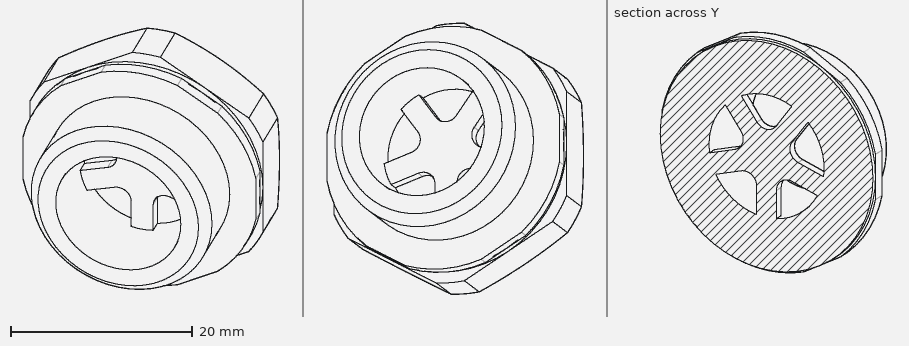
import cadquery as cq
import math


total_length = 19.0
spigot_length = 7.5
washer_thickness = 1.5
collar_thickness = 1.0
dome_height = 2.15
bore_depth = 10.0
rib_height = 1.5

across_flats = 27.0
corner_radius = 14.75
washer_radius = 13.77
collar_radius = across_flats / 2
spigot_radius = 20.97 / 2
spigot_chamfer = 1.18
bore_radius = 14.5 / 2
dome_radius = 11.97
hex_bevel_angle = 30.0

rib_count = 5
rib_width = 2.57
rib_corner_radius = 1.47

collar_start = spigot_length + washer_thickness
hex_start = collar_start + collar_thickness
dome_start = total_length - dome_height
rib_start = bore_depth - rib_height
bevel_length = (corner_radius - dome_radius) * math.tan(math.radians(hex_bevel_angle))


def disc(radius, start, end):
    """Solid cylinder about the Y axis, from y = start to y = end."""
    return cq.Workplane("XZ", origin=(0, start, 0)).circle(radius).extrude(start - end)


def hex_prism(start, end):
    """Hexagonal prism about the Y axis with flats facing +X and -X."""
    across_corners = across_flats / math.cos(math.radians(30))
    prism = cq.Workplane("XZ", origin=(0, start, 0)).polygon(6, across_corners).extrude(start - end)
    return prism.rotate((0, 0, 0), (0, 1, 0), 30)


def make_spigot():
    return disc(spigot_radius, 0, spigot_length).faces("<Y").chamfer(spigot_chamfer)


def make_washer():
    """Round washer trimmed to the hexagon flats."""
    washer = disc(washer_radius, spigot_length, collar_start)
    return washer.intersect(hex_prism(spigot_length, collar_start))


def make_hex_head():
    """Hexagon with rounded corners and a conical bevel toward the dome."""
    turned_blank = (
        cq.Workplane("XY")
        .moveTo(0, hex_start)
        .lineTo(corner_radius, hex_start)
        .lineTo(corner_radius, dome_start - bevel_length)
        .lineTo(dome_radius, dome_start)
        .lineTo(0, dome_start)
        .close()
        .revolve(360, (0, 0, 0), (0, 1, 0))
    )
    return turned_blank.intersect(hex_prism(hex_start, dome_start))


def make_dome():
    """Cap whose rim is a quarter round as tall as the cap."""
    rim_radius = dome_radius - dome_height
    return (
        cq.Workplane("XY")
        .moveTo(0, dome_start)
        .lineTo(dome_radius, dome_start)
        .radiusArc((rim_radius, total_length), -dome_height)
        .lineTo(0, total_length)
        .close()
        .revolve(360, (0, 0, 0), (0, 1, 0))
    )


def make_pocket():
    """Rounded wedge between two neighbouring ribs, centred on +Z."""
    half_angle = math.pi / rib_count
    apex_height = rib_width / 2 / math.sin(half_angle)
    wedge_height = 2 * bore_radius
    wedge_half_width = wedge_height * math.tan(half_angle)
    return (
        cq.Workplane("XZ", origin=(0, rib_start, 0))
        .moveTo(0, apex_height)
        .lineTo(wedge_half_width, apex_height + wedge_height)
        .lineTo(-wedge_half_width, apex_height + wedge_height)
        .close()
        .extrude(-rib_height)
        .edges("|Y")
        .edges("<Z")
        .fillet(rib_corner_radius)
    )


def make_ribs():
    """Star of ribs that fills the end of the bore between the pockets."""
    ribs = disc(bore_radius, rib_start, bore_depth)
    pocket = make_pocket()
    for index in range(rib_count):
        ribs = ribs.cut(pocket.rotate((0, 0, 0), (0, 1, 0), index * 360 / rib_count))
    return ribs


body = make_spigot().union(make_washer())
body = body.union(disc(collar_radius, collar_start, hex_start))
body = body.union(make_hex_head()).union(make_dome())

result = body.cut(disc(bore_radius, 0, bore_depth)).union(make_ribs())